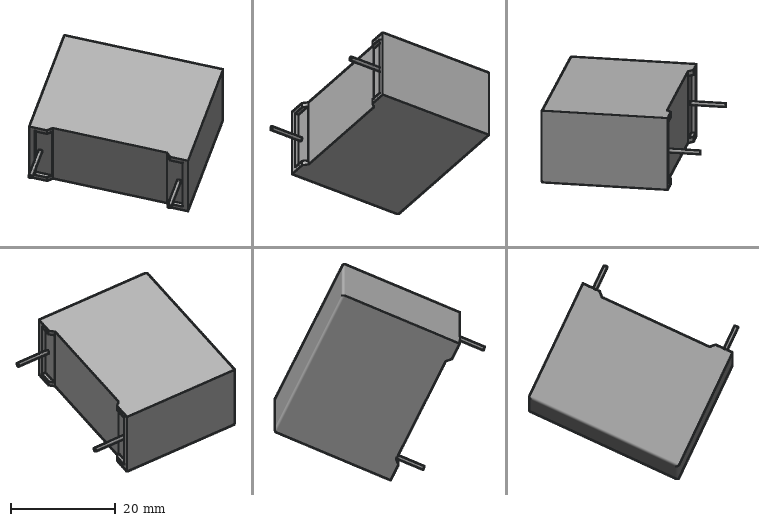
import cadquery as cq

case_width = 31.5
case_depth = 24.5
case_height = 14.52
back_edge_radius = 0.5

foot_width = 3.55
notch_depth = 0.88

side_rim = 1.1
end_rim = 1.0
recess_depth = 0.8

lead_diameter = 0.8
lead_spacing = 27.5
lead_projection = 6.0

half_width = case_width / 2
back_y = case_depth / 2
front_y = -back_y
recess_floor_y = front_y + recess_depth
recess_width = foot_width + recess_depth - side_rim
recess_height = case_height - 2 * end_rim
sides = (-1, 1)


def make_recess(side):
    """The volume removed from one foot."""
    center_x = side * (half_width - side_rim - recess_width / 2)
    center_y = front_y + recess_depth / 2
    return (
        cq.Workplane("XY")
        .box(recess_width, recess_depth, recess_height)
        .translate((center_x, center_y, 0))
    )


def make_case():
    """Block with a chamfer-sided notch between its feet, rounded back edges and a recess per foot."""
    notch_half = half_width - foot_width
    panel_half = notch_half - notch_depth
    panel_y = front_y + notch_depth
    profile = [
        (-half_width, back_y),
        (-half_width, front_y),
        (-notch_half, front_y),
        (-panel_half, panel_y),
        (panel_half, panel_y),
        (notch_half, front_y),
        (half_width, front_y),
        (half_width, back_y),
    ]
    case = cq.Workplane("XY").polyline(profile).close().extrude(case_height / 2, both=True)
    case = case.faces(">Y").edges().fillet(back_edge_radius)
    for side in sides:
        case = case.cut(make_recess(side))
    return case


def make_lead(side):
    """A round wire standing on the recess floor and pointing to -Y."""
    return (
        cq.Workplane("XZ", origin=(side * lead_spacing / 2, recess_floor_y, 0))
        .circle(lead_diameter / 2)
        .extrude(recess_depth + lead_projection)
    )


case = make_case()
leads = [make_lead(side) for side in sides]

result = cq.Compound.makeCompound([case.val(), *[lead.val() for lead in leads]])